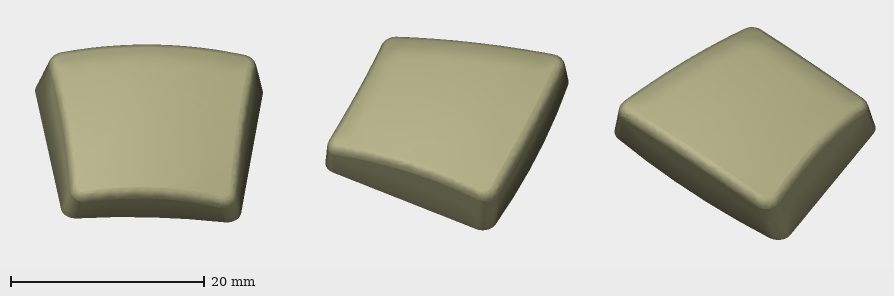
import cadquery as cq

side_offset_sw = 10.25
side_angle_sw = 225
draft_sw = 19.5
side_offset_ne = 11.03
side_angle_ne = 28
draft_ne = 10

arc_center_outer = (48.75, -69.55)
radius_outer = 94.0
arc_center_inner = (44.7, -65.72)
radius_inner = 68.97

total_height = 6.75
peg_height = 1.0
cap_height = total_height - peg_height
base_z = 0

dome_radius = 50.0
dome_center = (-1.85, 3.46)

corner_radius = 1.5
top_edge_radius = 1.0

peg_diameter = 5.3
peg_center = (1.05, -0.33)

trim_size = 110.88


def arc_prism(center, radius):
    """Upright cylinder that carries one of the curved side walls."""
    return cq.Workplane("XY", origin=(*center, base_z)).circle(radius).extrude(cap_height)


def side_trim(offset, angle, draft):
    """Block outside one straight side; its near face leans inward by the draft."""
    block = cq.Workplane("XY").box(
        trim_size, trim_size, trim_size, centered=(False, True, True)
    )
    return (
        block.rotate((0, 0, 0), (0, 1, 0), -draft)
        .translate((offset, 0, base_z))
        .rotate((0, 0, 0), (0, 0, 1), angle)
    )


def make_cap():
    body = arc_prism(arc_center_outer, radius_outer)
    body = body.cut(arc_prism(arc_center_inner, radius_inner))
    body = body.cut(side_trim(side_offset_sw, side_angle_sw, draft_sw))
    body = body.cut(side_trim(side_offset_ne, side_angle_ne, draft_ne))

    body = body.edges("(not <Z) and (not >Z)").fillet(corner_radius)

    dome = cq.Workplane("XY").sphere(dome_radius)
    dome = dome.translate((*dome_center, cap_height - dome_radius))
    body = body.intersect(dome)
    return body.faces("%SPHERE").edges().fillet(top_edge_radius)


def make_peg():
    peg = cq.Workplane("XY", origin=(*peg_center, base_z - peg_height))
    return peg.circle(peg_diameter / 2).extrude(peg_height)


result = make_cap().union(make_peg())